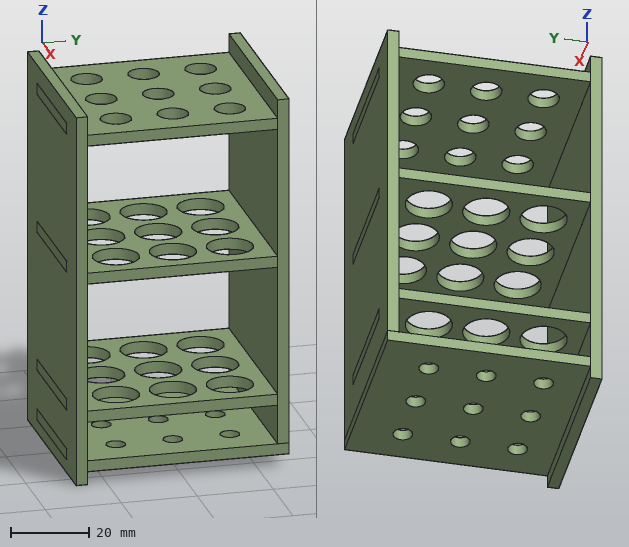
import cadquery as cq

rack_width = 50.0
rack_height = 100.0
wall_gap = 50.0
sheet = 3.0

base_z = 3.5
top_shelf_z = rack_height - 5.0 - sheet
lower_shelf_z = 17.0
middle_shelf_z = (lower_shelf_z + top_shelf_z) / 2

tab_width = 30.0

hole_rows = 3
hole_pitch = 15.0
top_hole_diameter = 8.0
tube_hole_diameter = 12.0
base_hole_diameter = 5.0

wall_inner_y = wall_gap / 2
wall_outer_y = wall_inner_y + sheet

upper_shelf_heights = [lower_shelf_z, middle_shelf_z, top_shelf_z]


def block(width, y_start, y_end, z_start, z_end):
    """Box centred on X = 0 that spans the given Y and Z ranges."""
    return (
        cq.Workplane("XY")
        .box(width, y_end - y_start, z_end - z_start, centered=(True, False, False))
        .translate((0, y_start, z_start))
    )


def drill_hole_grid(plate, hole_diameter):
    """Drill the grid of tube holes right through a horizontal plate."""
    return (
        plate.faces(">Z")
        .workplane(origin=(0, 0, 0))
        .rarray(hole_pitch, hole_pitch, hole_rows, hole_rows)
        .hole(hole_diameter)
    )


def tab(y_start, shelf_z):
    """Tab of a shelf, as thick as the wall that it passes through."""
    return block(tab_width, y_start, y_start + sheet, shelf_z, shelf_z + sheet)


def make_shelf(shelf_z, hole_diameter):
    """Shelf between the walls, with one tab through each wall."""
    plate = block(rack_width, -wall_inner_y, wall_inner_y, shelf_z, shelf_z + sheet)
    for tab_y in (-wall_outer_y, wall_inner_y):
        plate = plate.union(tab(tab_y, shelf_z))
    return drill_hole_grid(plate, hole_diameter)


def make_base():
    """Base plate that runs under the back wall and has a tab through the front wall."""
    plate = block(rack_width, -wall_inner_y, wall_outer_y, base_z, base_z + sheet)
    plate = plate.union(tab(-wall_outer_y, base_z))
    return drill_hole_grid(plate, base_hole_diameter)


def make_wall(y_start, bottom_z, slot_heights):
    """Upright wall with a through slot for each shelf tab."""
    wall = block(rack_width, y_start, y_start + sheet, bottom_z, rack_height)
    for slot_z in slot_heights:
        wall = wall.cut(tab(y_start, slot_z))
    return wall


front_wall = make_wall(-wall_outer_y, 0.0, [base_z] + upper_shelf_heights)
back_wall = make_wall(wall_inner_y, base_z + sheet, upper_shelf_heights)
base = make_base()
lower_shelf = make_shelf(lower_shelf_z, tube_hole_diameter)
middle_shelf = make_shelf(middle_shelf_z, tube_hole_diameter)
top_shelf = make_shelf(top_shelf_z, top_hole_diameter)

result = cq.Compound.makeCompound([
    front_wall.val(),
    back_wall.val(),
    base.val(),
    lower_shelf.val(),
    middle_shelf.val(),
    top_shelf.val(),
])